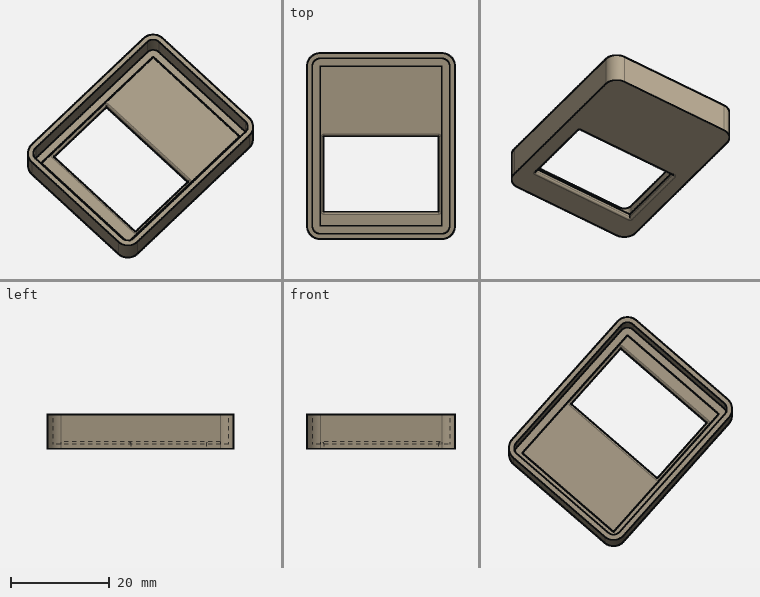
import cadquery as cq
import math

length_x = 30.0
length_y = 37.7
height = 7.0
corner_radius = 2.7

wall = 1.1
floor_thickness = 1.05
inner_corner_radius = corner_radius - wall

pad_x = length_x - 2 * corner_radius
pad_y = length_y - 2 * corner_radius
pad_rise = 0.45
pad_top = floor_thickness + pad_rise

window_x = 23.22
window_y = 15.23
window_front_margin = 5.58
window_edge_radius = 0.5
window_center_y = -length_y / 2 + window_front_margin + window_y / 2


def rounded_block(size_x, size_y, size_z, radius, base_z):
    """Block standing on base_z, centred on the Z axis, with rounded vertical edges."""
    return (
        cq.Workplane("XY", origin=(0, 0, base_z))
        .rect(size_x, size_y)
        .extrude(size_z)
        .edges("|Z")
        .fillet(radius)
    )


def flare_profile(plane):
    """Corner left outside a quarter round: origin on the window wall, top edge at zero height."""
    r = window_edge_radius
    on_arc = r * (1 - math.sqrt(0.5))
    return (
        cq.Workplane(plane)
        .lineTo(r, 0)
        .threePointArc((on_arc, -on_arc), (0, -r))
        .close()
    )


def window_flares():
    """Cutters that round over the top rim of a window centred on the origin, top at zero height."""
    half_x = window_x / 2
    half_y = window_y / 2
    side_flare_x = flare_profile("XZ").extrude(half_y, both=True).translate((half_x, 0, 0))
    side_flare_y = flare_profile("YZ").extrude(half_x, both=True).translate((0, half_y, 0))
    corner_flare = flare_profile("XZ").revolve(90, (0, 0, 0), (0, 1, 0)).translate((half_x, half_y, 0))

    flares = []
    for turn in (0, 180):
        for flare in (side_flare_x, side_flare_y):
            flares.append(flare.rotate((0, 0, 0), (0, 0, 1), turn))
    for corner in (corner_flare, corner_flare.mirror("YZ")):
        flares += [corner, corner.mirror("XZ")]
    return flares


body = rounded_block(length_x, length_y, height, corner_radius, 0)
cavity = rounded_block(
    length_x - 2 * wall,
    length_y - 2 * wall,
    height - floor_thickness,
    inner_corner_radius,
    floor_thickness,
)
pad = cq.Workplane("XY").rect(pad_x, pad_y).extrude(pad_top)
tray = body.cut(cavity).union(pad)

opening = cq.Workplane("XY").rect(window_x, window_y).extrude(pad_top)
upper_flares = [flare.translate((0, 0, pad_top)) for flare in window_flares()]
lower_flares = [flare.mirror("XY") for flare in window_flares()]
for cutter in [opening] + upper_flares + lower_flares:
    tray = tray.cut(cutter.translate((0, window_center_y, 0)))

result = cq.Workplane(tray.solids().val())